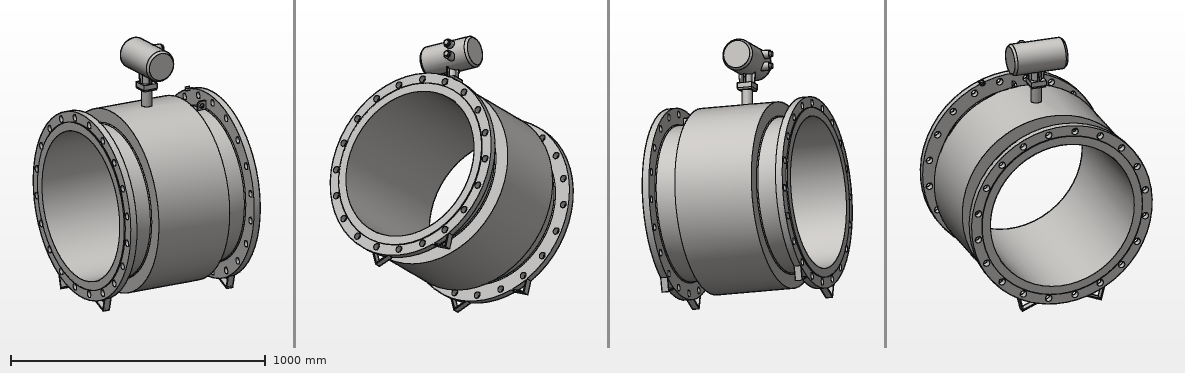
import cadquery as cq
import math

face_to_face = 600.0
bore_dia = 600.0
pipe_dia = 616.0
flange_dia = 754.0
flange_thickness = 28.0
raised_face_dia = 670.0
raised_face_height = 5.0
bolt_hole_dia = 26.0
bolt_circle_dia = 705.0
bolt_count = 20
weld_leg = 4.0

coil_dia = 735.0
coil_length = 322.0

lug_length = 35.0
lug_thickness = 9.0
lug_top_z = 343.0
lug_hole_dia = 19.0
lug_hole_z = 324.0
lug_chamfer = 10.0

foot_outer_angle = 29.0
foot_inner_angle = 14.8
foot_tip_x = 164.0
foot_tip_z = -388.0
foot_root_radius = 372.0
foot_thickness = 5.0

ground_angle = 20.0
ground_tab_width = 20.0
ground_tab_length = 33.0
ground_tab_end_y = 286.0
ground_tab_inner_radius = 373.0
ground_tab_outer_radius = 380.0
ground_screw_dia = 17.0
ground_screw_inner_radius = 371.0
ground_screw_outer_radius = 387.0

neck_dia = 42.0
collar_width = 61.0
collar_bottom_z = 434.0
collar_top_z = 461.0
collar_bevel_height = 7.0
collar_bevel_inset = 3.0
web_thickness = 6.0
web_step_z = 482.0
web_upper_width = 68.0
head_dia = 125.0
head_length = 222.0
head_center_x = 2.0
head_axis_z = 557.0
head_chamfer_length = 10.0
head_end_dia = 110.0

gland_x = -33.0
gland_pitch = 47.0
gland_root_dia = 38.0
gland_end_dia = 32.0
gland_end_y = 83.0
plug_dia = 21.0
plug_end_y = 92.0

face_y = face_to_face / 2
flange_outer_y = face_y - raised_face_height
flange_inner_y = flange_outer_y - flange_thickness
coil_end_y = coil_length / 2


def rod_y(diameter, y_start, y_end, x=0, z=0):
    """Cylinder along Y between two Y positions."""
    plane = cq.Workplane("XZ", origin=(x, y_start, z))
    return plane.circle(diameter / 2).extrude(y_start - y_end)


def mirrored_in_y(shape):
    """The shape together with its reflection across the middle of the pipe."""
    return shape.union(shape.mirror("XZ"))


def make_pipe_body():
    """Section revolved about Y: pipe, weld beads, flanges and coil housing."""
    bore_r = bore_dia / 2
    pipe_r = pipe_dia / 2
    outer_half = [
        (coil_dia / 2, coil_end_y),
        (pipe_r + weld_leg, coil_end_y),
        (pipe_r, coil_end_y + weld_leg),
        (pipe_r, flange_inner_y - weld_leg),
        (pipe_r + weld_leg, flange_inner_y),
        (flange_dia / 2, flange_inner_y),
        (flange_dia / 2, flange_outer_y),
        (raised_face_dia / 2, flange_outer_y),
        (raised_face_dia / 2, face_y),
        (bore_r, face_y),
    ]
    other_half = [(radius, -y) for radius, y in reversed(outer_half)]
    section = cq.Workplane("XY").polyline(other_half + outer_half).close()
    return section.revolve(360, (0, 0, 0), (0, 1, 0))


def make_bolt_holes():
    """Bolt holes through both flanges, straddling the vertical centre line."""
    pitch = 360 / bolt_count
    holes = (
        cq.Workplane("XZ", origin=(0, face_y, 0))
        .polarArray(bolt_circle_dia / 2, pitch / 2, 360, bolt_count)
        .circle(bolt_hole_dia / 2)
        .extrude(face_to_face)
    )
    coil_zone = rod_y(flange_dia, -flange_inner_y, flange_inner_y)
    return holes.cut(coil_zone)


def make_lugs():
    """Drilled plates rooted in the pipe wall, with the free top corner bevelled."""
    root_z = (bore_dia + pipe_dia) / 4
    height = lug_top_z - root_z
    lug = (
        cq.Workplane("XY")
        .box(lug_thickness, lug_length, height)
        .translate((0, flange_inner_y - lug_length / 2, lug_top_z - height / 2))
        .edges(">Z and <Y")
        .chamfer(lug_chamfer)
    )
    hole = (
        cq.Workplane("YZ", origin=(-lug_thickness, flange_inner_y - lug_length / 2, lug_hole_z))
        .circle(lug_hole_dia / 2)
        .extrude(2 * lug_thickness)
    )
    return mirrored_in_y(lug.cut(hole))


def make_feet():
    """Plates bent to a V, rooted in the flange rim and as wide as the flange is thick."""

    def rim_point(angle):
        turn = math.radians(angle)
        return (foot_root_radius * math.sin(turn), -foot_root_radius * math.cos(turn))

    corners = [rim_point(foot_outer_angle), (foot_tip_x, foot_tip_z), rim_point(foot_inner_angle)]
    flange_side = cq.Workplane("XZ", origin=(0, flange_outer_y, 0))
    solid = flange_side.polyline(corners).close().extrude(flange_thickness)
    opening = flange_side.polyline(corners).close().offset2D(-foot_thickness).extrude(flange_thickness)
    flange_disc = rod_y(flange_dia, -face_y, face_y)
    foot = solid.cut(opening).cut(flange_disc)
    return mirrored_in_y(foot.union(foot.mirror("YZ")))


def make_ground_terminal():
    """Round-ended tab lying on the rim with a radial screw at its inner end."""
    tab = (
        cq.Workplane("XY", origin=(0, ground_tab_end_y - ground_tab_length / 2, ground_tab_inner_radius))
        .slot2D(ground_tab_length, ground_tab_width, 90)
        .extrude(ground_tab_outer_radius - ground_tab_inner_radius)
    )
    screw_y = ground_tab_end_y - ground_tab_length + ground_tab_width / 2
    screw = (
        cq.Workplane("XY", origin=(0, screw_y, ground_screw_inner_radius))
        .circle(ground_screw_dia / 2)
        .extrude(ground_screw_outer_radius - ground_screw_inner_radius)
    )
    return tab.union(screw).rotate((0, 0, 0), (0, 1, 0), -ground_angle)


def make_neck():
    """Round neck, square collar and a cross of four webs up into the head."""
    root_z = (pipe_dia + coil_dia) / 4
    neck = (
        cq.Workplane("XY", origin=(0, 0, root_z))
        .circle(neck_dia / 2)
        .extrude(head_axis_z - root_z)
    )
    collar = (
        cq.Workplane("XY", origin=(0, 0, collar_bottom_z))
        .rect(collar_width, collar_width)
        .extrude(collar_top_z - collar_bottom_z)
        .faces("<Z")
        .chamfer(collar_bevel_height, collar_bevel_inset)
    )
    neck = neck.union(collar)
    for turn in (0, 90):
        lower = (
            cq.Workplane("XY", origin=(0, 0, collar_top_z))
            .rect(collar_width, web_thickness)
            .extrude(web_step_z - collar_top_z)
        )
        upper = (
            cq.Workplane("XY", origin=(0, 0, web_step_z))
            .rect(web_upper_width, web_thickness)
            .extrude(head_axis_z - web_step_z)
        )
        neck = neck.union(lower.union(upper).rotate((0, 0, 0), (0, 0, 1), turn))
    return neck


def make_head():
    """Cylindrical transmitter housing along X with bevelled ends."""
    start_x = head_center_x - head_length / 2
    return (
        cq.Workplane("YZ", origin=(start_x, 0, head_axis_z))
        .circle(head_dia / 2)
        .extrude(head_length)
        .faces("<X or >X")
        .chamfer(head_chamfer_length, (head_dia - head_end_dia) / 2)
    )


def make_glands():
    """Two tapered glands along +Y, one above the other, each closed by a round plug."""
    glands = cq.Workplane("XY")
    for side in (-1, 1):
        z = head_axis_z + side * gland_pitch / 2
        body = cq.Solid.makeCone(
            gland_root_dia / 2,
            gland_end_dia / 2,
            gland_end_y,
            pnt=cq.Vector(gland_x, 0, z),
            dir=cq.Vector(0, 1, 0),
        )
        glands = glands.union(cq.Workplane(body)).union(rod_y(plug_dia, 0, plug_end_y, gland_x, z))
    return glands


result = (
    make_pipe_body()
    .union(make_feet())
    .cut(make_bolt_holes())
    .union(make_lugs())
    .union(make_ground_terminal())
    .union(make_neck())
    .union(make_head())
    .union(make_glands())
)